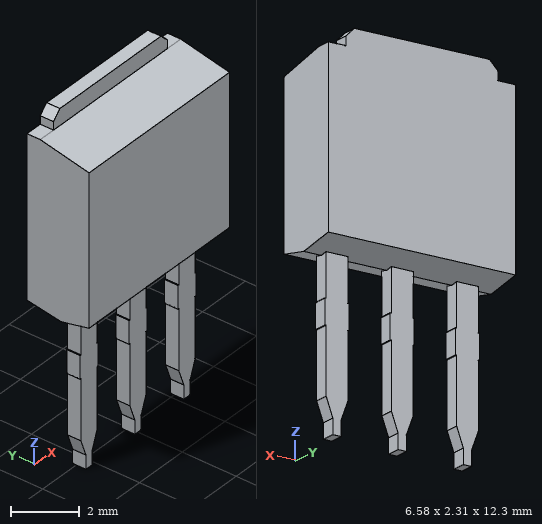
import cadquery as cq

body_width = 6.58
body_depth = 2.31
total_height = 12.26

tab_width = 5.34
tab_thickness = 0.5
tab_height = 0.6
tab_chamfer = 0.3

top_slope_drop = 0.4
bottom_slope_drop = 0.22
lead_exit_height = 5.56

lead_count = 3
lead_pitch = 2.29
lead_width = 0.77
lead_thickness = 0.5
lead_centre_depth = 1.27
collar_width = 0.85
collar_bottom = 3.33
collar_top = 4.17
tip_width = 0.3
tip_length = 0.51
taper_top = 1.14
lead_embed = 0.5

body_top = total_height - tab_height
body_bottom_edge = lead_exit_height + bottom_slope_drop
front_y = -body_depth
lead_centre_y = -lead_centre_depth


def make_body():
    """Side profile with a sloped top and a shallow V underside, extruded across X."""
    profile = [
        (0, body_bottom_edge),
        (0, body_top),
        (-tab_thickness, body_top),
        (front_y, body_top - top_slope_drop),
        (front_y, body_bottom_edge),
        (lead_centre_y, lead_exit_height),
    ]
    return cq.Workplane("YZ").polyline(profile).close().extrude(body_width / 2, both=True)


def make_tab():
    """Plate flush with the back of the body, with its two top corners chamfered."""
    return (
        cq.Workplane("XY")
        .workplane(offset=body_top)
        .center(0, -tab_thickness / 2)
        .rect(tab_width, tab_thickness)
        .extrude(tab_height)
        .faces(">Z")
        .edges("|Y")
        .chamfer(tab_chamfer)
    )


def make_lead(x):
    """Flat lead with a slightly wider collar and a tapered, narrow tip."""
    lead_top = lead_exit_height + lead_embed
    right_side = [
        (tip_width / 2, 0),
        (tip_width / 2, tip_length),
        (lead_width / 2, taper_top),
        (lead_width / 2, collar_bottom),
        (collar_width / 2, collar_bottom),
        (collar_width / 2, collar_top),
        (lead_width / 2, collar_top),
        (lead_width / 2, lead_top),
    ]
    left_side = [(-half_width, z) for half_width, z in reversed(right_side)]
    return (
        cq.Workplane("XZ")
        .polyline(right_side + left_side)
        .close()
        .extrude(lead_thickness / 2, both=True)
        .translate((x, lead_centre_y, 0))
    )


result = make_body().union(make_tab())
for index in range(lead_count):
    lead_x = (index - (lead_count - 1) / 2) * lead_pitch
    result = result.union(make_lead(lead_x))